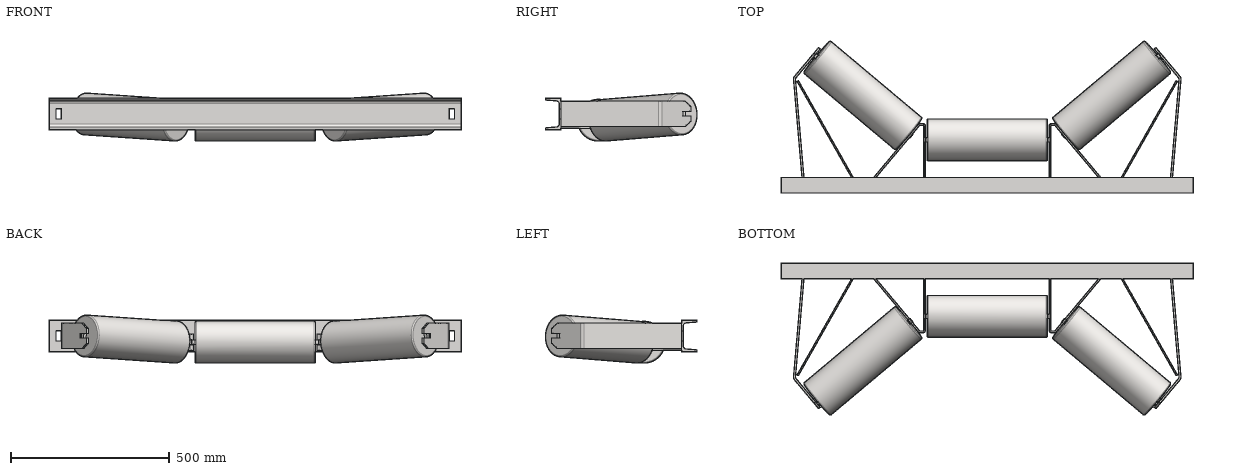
import cadquery as cq
import math


channel_length = 1300.0
channel_height = 100.0
flange_width = 50.0
web_thickness = 6.0
flange_thickness = 8.5
flange_slope = 0.08
root_radius = 8.5
toe_radius = 4.5

hole_width = 15.0
hole_height = 31.0
hole_offset = 620.0

roller_length = 380.0
roller_diameter = 133.0
roller_edge_radius = 4.0
axle_size = 14.0
axle_overhang = 10.0

trough_angle = 40.0
tilt_angle = 3.0
side_roller_x = 393.0
side_roller_y = 259.0
outer_axle_z = 0.0
side_roller_z = outer_axle_z - roller_length / 2 * math.sin(math.radians(tilt_angle))
inner_axle_z = 2 * side_roller_z - outer_axle_z
centre_roller_y = 118.0

inner_plate_thickness = 6.0
outer_plate_thickness = 7.0
inner_bend_radius = 3.0
outer_bend_radius = 8.0
slot_reach = 78.0
slot_overhang = 18.0
inner_gap = 3.0
outer_gap = 7.2
post_gap = 5.0
inner_plate_height = 51.0
inner_plate_top = 170.0
outer_plate_height = 80.0
outer_tip_reach = 26.0
outer_tip_chamfer_length = 23.0
outer_tip_chamfer_height = 17.0
outer_bend_y = 313.0
outer_foot_x = 581.0
brace_foot_x = 424.0
brace_top_x = 598.0
brace_top_y = 304.0
brace_height = 51.0
brace_thickness = 5.0

foot_y = -web_thickness / 2

angle = math.radians(trough_angle)
outward = (-math.cos(angle), math.sin(angle))
across = (math.sin(angle), math.cos(angle))


def side_point(along, over):
    """Point in the XY plane, measured from the middle of the -X side roller."""
    x = -side_roller_x + along * outward[0] + over * across[0]
    y = side_roller_y + along * outward[1] + over * across[1]
    return (x, y)


def side_point_at_y(along, y):
    """Point at height y on the line that crosses the side roller's axis at `along`."""
    over = (y - side_roller_y - along * outward[1]) / across[1]
    return side_point(along, over)


def mirrored(body):
    return body.mirror("YZ")


tilt = math.radians(tilt_angle)
inward_axis = (
    -outward[0] * math.cos(tilt),
    -outward[1] * math.cos(tilt),
    -math.sin(tilt),
)
side_normal = (
    -outward[0] * math.sin(tilt),
    -outward[1] * math.sin(tilt),
    math.cos(tilt),
)
side_frame = cq.Plane((-side_roller_x, side_roller_y, side_roller_z), inward_axis, side_normal)
centre_frame = cq.Plane((0, centre_roller_y, inner_axle_z), (1, 0, 0), (0, 0, 1))
axle_length = roller_length + 2 * axle_overhang


def make_axle(frame):
    return cq.Workplane(frame).box(axle_length, axle_size, axle_size)


def make_roller(frame):
    drum = (
        cq.Workplane(frame)
        .transformed(offset=(-roller_length / 2, 0, 0), rotate=(0, 90, 0))
        .circle(roller_diameter / 2)
        .extrude(roller_length)
        .edges()
        .fillet(roller_edge_radius)
    )
    return drum.cut(make_axle(frame))


def make_slot(frame):
    """Slot that fits the axle and is open toward local +Y."""
    length = roller_length + 2 * slot_overhang
    depth = slot_reach + axle_size / 2
    middle = (slot_reach - axle_size / 2) / 2
    return cq.Workplane(frame).center(0, middle).box(length, depth, axle_size)


def make_channel():
    half_height = channel_height / 2
    taper = flange_slope * flange_width / 2
    toe_z = half_height - flange_thickness + taper
    root_z = half_height - flange_thickness - taper + flange_slope * web_thickness
    profile = [
        (0, -half_height),
        (0, half_height),
        (-flange_width, half_height),
        (-flange_width, toe_z),
        (-web_thickness, root_z),
        (-web_thickness, -root_z),
        (-flange_width, -toe_z),
        (-flange_width, -half_height),
    ]
    channel = (
        cq.Workplane("YZ", origin=(-channel_length / 2, 0, 0))
        .polyline(profile)
        .close()
        .extrude(channel_length)
    )
    for z in (root_z, -root_z):
        channel = channel.edges(cq.NearestToPointSelector((0, -web_thickness, z))).fillet(root_radius)
    for z in (toe_z, -toe_z):
        channel = channel.edges(cq.NearestToPointSelector((0, -flange_width, z))).fillet(toe_radius)
    holes = (
        cq.Workplane("XZ")
        .pushPoints([(-hole_offset, 0), (hole_offset, 0)])
        .rect(hole_width, hole_height)
        .extrude(flange_width)
    )
    return channel.cut(holes)


def unit_normal(start, end):
    """Unit vector in the XY plane to the left of the line from start to end."""
    length = math.dist(start, end)
    return ((start[1] - end[1]) / length, (end[0] - start[0]) / length)


def shifted(point, direction, distance):
    return (point[0] + distance * direction[0], point[1] + distance * direction[1])


def plate(points, thickness, height, z, bend_radius=0):
    """Upright plate whose mid-plane runs through the points, bending clockwise at the inner ones."""
    half = thickness / 2
    normals = [unit_normal(start, end) for start, end in zip(points, points[1:])]
    mitres = [normals[0]]
    for before, after in zip(normals, normals[1:]):
        spread = 1 + before[0] * after[0] + before[1] * after[1]
        mitres.append(((before[0] + after[0]) / spread, (before[1] + after[1]) / spread))
    mitres.append(normals[-1])
    outside = [shifted(point, mitre, half) for point, mitre in zip(points, mitres)]
    inside = [shifted(point, mitre, -half) for point, mitre in zip(points, mitres)]
    body = (
        cq.Workplane("XY", origin=(0, 0, z - height / 2))
        .polyline(outside + inside[::-1])
        .close()
        .extrude(height)
    )
    for corner in inside[1:-1]:
        body = body.edges(cq.NearestToPointSelector((*corner, z))).fillet(bend_radius)
    for corner in outside[1:-1]:
        body = body.edges(cq.NearestToPointSelector((*corner, z))).fillet(bend_radius + thickness)
    return body


def make_inner_bracket():
    """Leg under the side roller's inner end, bent over a flat top into a post at the centre roller."""
    leg_along = -(roller_length / 2 + inner_gap + inner_plate_thickness / 2)
    post_x = -(roller_length / 2 + post_gap + inner_plate_thickness / 2)
    top_y = inner_plate_top - inner_plate_thickness / 2
    path = [
        side_point_at_y(leg_along, foot_y),
        side_point_at_y(leg_along, top_y),
        (post_x, top_y),
        (post_x, foot_y),
    ]
    return plate(path, inner_plate_thickness, inner_plate_height, inner_axle_z, inner_bend_radius)


def make_outer_bracket():
    """Leg that leans outward and is bent in along the side roller's outer end."""
    head_along = roller_length / 2 + outer_gap + outer_plate_thickness / 2
    tip = side_point(head_along, outer_tip_reach)
    path = [
        (-outer_foot_x, foot_y),
        side_point_at_y(head_along, outer_bend_y),
        tip,
    ]
    bracket = plate(path, outer_plate_thickness, outer_plate_height, outer_axle_z, outer_bend_radius)
    tip_frame = cq.Plane((*tip, outer_axle_z), (*across, 0), (*outward, 0))
    half_height = outer_plate_height / 2
    for side in (-1, 1):
        chamfer = [
            (0, side * half_height),
            (-outer_tip_chamfer_length, side * half_height),
            (0, side * (half_height - outer_tip_chamfer_height)),
        ]
        wedge = (
            cq.Workplane(tip_frame)
            .polyline(chamfer)
            .close()
            .extrude(outer_plate_thickness, both=True)
        )
        bracket = bracket.cut(wedge)
    return bracket


def make_brace():
    path = [(-brace_foot_x, foot_y), (-brace_top_x, brace_top_y)]
    return plate(path, brace_thickness, brace_height, outer_axle_z)


def make_frame():
    supports = make_inner_bracket().union(make_outer_bracket()).union(make_brace())
    supports = supports.cut(make_slot(side_frame)).cut(make_slot(centre_frame))
    return make_channel().union(supports).union(mirrored(supports))


frame = make_frame()

side_roller = make_roller(side_frame)
rollers = [side_roller, make_roller(centre_frame), mirrored(side_roller)]

side_axle = make_axle(side_frame)
axles = [side_axle, make_axle(centre_frame), mirrored(side_axle)]

result = cq.Compound.makeCompound([body.val() for body in [frame, *rollers, *axles]])